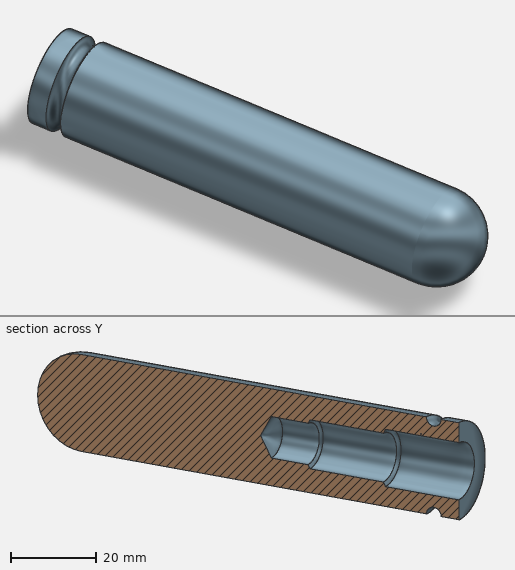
import cadquery as cq
import math

length = 115.0
body_diameter = 24.0
body_radius = body_diameter / 2

groove_center_x = 6.9
groove_radius = 2.0

entry_radius = 7.0
middle_radius = 6.0
core_radius = 5.1
entry_depth = 20.0
middle_depth = 20.0
core_depth = 10.0
step_half_angle = math.radians(60)
point_half_angle = math.radians(60)


def cone_length(start_radius, end_radius, half_angle):
    """Axial length of a cone between two radii."""
    return (start_radius - end_radius) / math.tan(half_angle)


def make_body():
    """Cylinder with a hemispherical end and the groove, turned about X."""
    dome_start = length - body_radius
    dome_mid = body_radius * math.sqrt(0.5)
    profile = (
        cq.Workplane("XY")
        .lineTo(0, body_radius)
        .lineTo(groove_center_x - groove_radius, body_radius)
        .radiusArc((groove_center_x, body_radius - groove_radius), -groove_radius)
        .radiusArc((groove_center_x + groove_radius, body_radius), -groove_radius)
        .lineTo(dome_start, body_radius)
        .threePointArc((dome_start + dome_mid, dome_mid), (length, 0))
        .close()
    )
    return profile.revolve(360, (0, 0, 0), (1, 0, 0))


def make_bore():
    """Stepped bore with conical transitions and a drill point."""
    entry_end = entry_depth
    middle_start = entry_end + cone_length(entry_radius, middle_radius, step_half_angle)
    middle_end = middle_start + middle_depth
    core_start = middle_end + cone_length(middle_radius, core_radius, step_half_angle)
    core_end = core_start + core_depth
    point_tip = core_end + cone_length(core_radius, 0, point_half_angle)
    profile = (
        cq.Workplane("XY")
        .lineTo(0, entry_radius)
        .lineTo(entry_end, entry_radius)
        .lineTo(middle_start, middle_radius)
        .lineTo(middle_end, middle_radius)
        .lineTo(core_start, core_radius)
        .lineTo(core_end, core_radius)
        .lineTo(point_tip, 0)
        .close()
    )
    return profile.revolve(360, (0, 0, 0), (1, 0, 0))


result = make_body().cut(make_bore())